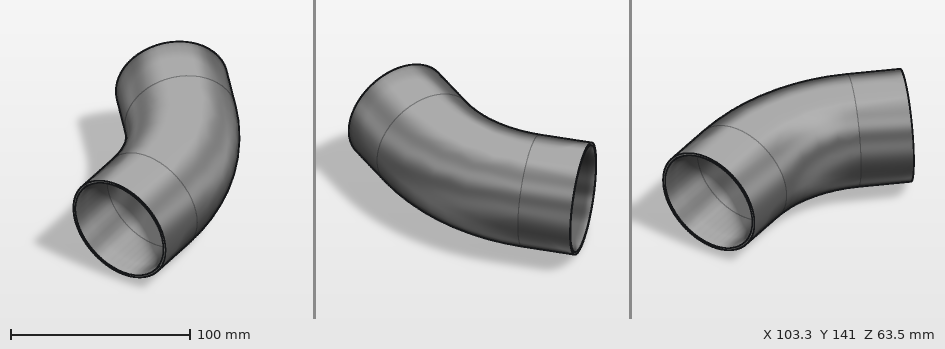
import cadquery as cq

outer_diameter = 63.5
inner_diameter = 60.5
straight_length = 30.0
bend_angle = 45.0
bend_radius = 1.5 * outer_diameter


def ring(workplane):
    """Pipe cross-section: two concentric circles."""
    return workplane.circle(outer_diameter / 2).circle(inner_diameter / 2)


inlet = ring(cq.Workplane("XZ")).extrude(straight_length)

bend = ring(cq.Workplane("XZ")).revolve(
    bend_angle, (-bend_radius, 0, 0), (-bend_radius, 1, 0)
)

outlet = (
    ring(cq.Workplane("XZ"))
    .extrude(-straight_length)
    .rotate((-bend_radius, 0, 0), (-bend_radius, 0, 1), bend_angle)
)

result = inlet.union(bend).union(outlet)